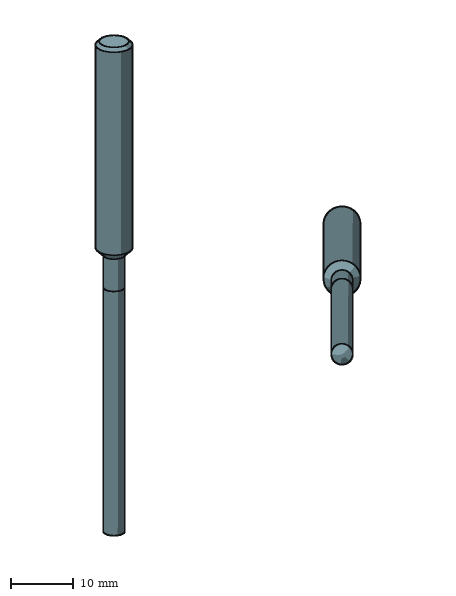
import cadquery as cq
import math

total_length = 86.8
shank_diameter = 6.0
drill_diameter = 3.5

grip_length = 36.3
shank_length = 43.2
top_chamfer = 0.6

point_angle = 140.0

shank_radius = shank_diameter / 2
drill_radius = drill_diameter / 2
shoulder_height = shank_radius - drill_radius
point_height = drill_radius / math.tan(math.radians(point_angle / 2))
shoulder_top = total_length - grip_length
shoulder_bottom = shoulder_top - shoulder_height
joint_height = total_length - shank_length


def turned(plane, profile):
    """Revolve a closed (radius, height) profile about the Z axis."""
    return cq.Workplane(plane).polyline(profile).close().revolve(360, (0, 0, 0), (0, 1, 0))


def make_shank():
    """Chamfered grip that tapers down to the neck."""
    return turned("XZ", [
        (0, joint_height),
        (-drill_radius, joint_height),
        (-drill_radius, shoulder_bottom),
        (-shank_radius, shoulder_top),
        (-shank_radius, total_length - top_chamfer),
        (-shank_radius + top_chamfer, total_length),
        (0, total_length),
    ])


def make_cutting_rod():
    """Plain rod with a conical point, butted against the neck."""
    return turned("YZ", [
        (0, 0),
        (-drill_radius, point_height),
        (-drill_radius, joint_height),
        (0, joint_height),
    ])


shank = make_shank()
cutting_rod = make_cutting_rod()

result = cq.Compound.makeCompound([shank.val(), cutting_rod.val()])